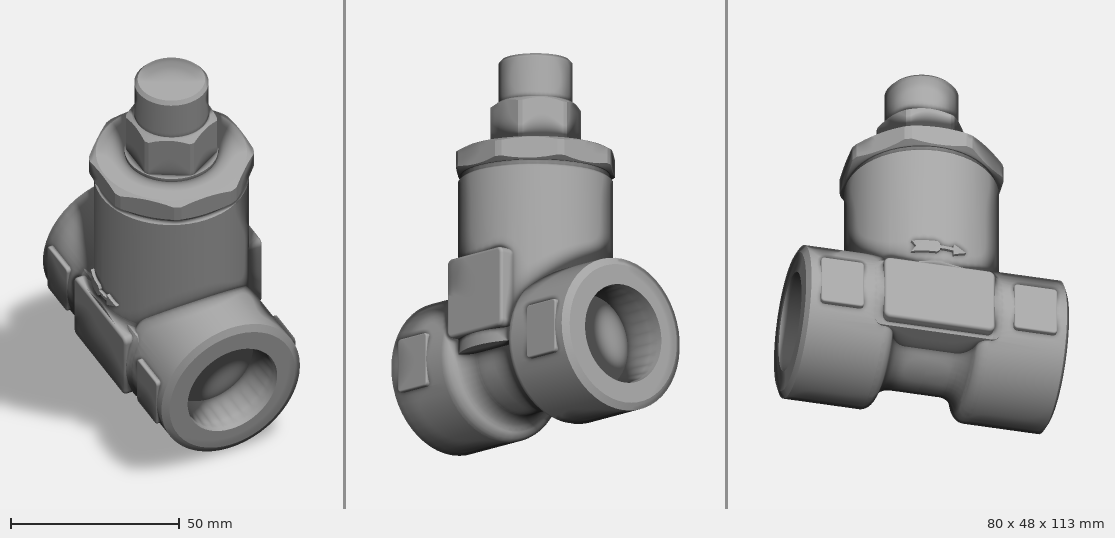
import cadquery as cq
import math

length = 80.0
height = 113.0
depth = 48.0
body_dia = 46.0
body_r = body_dia / 2
pad_face = depth / 2
top_z = height - body_r

hub_inner_x = 16.0
shoulder_length = 8.5
shoulder_drop = 6.8
shoulder_outer_r = 3.5
hub_chamfer_axial = 1.1
hub_chamfer_radial = 2.1
bore_dia = 28.6
bore_mouth_dia = 29.7
bore_depth = 14.7
flat_x = 29.4
flat_width = 13.1
flat_height = 16.0
flat_corner = 1.1
flat_rise = 0.1
flat_edge = 0.5

body_top = 53.7
nut_bottom = 54.9
nut_top = 61.9
collar_top = 63.0
hex_top = 76.7

body_rim_axial = 0.8
body_rim_radial = 0.9
neck_dia = 44.0
nut_corner_dia = 48.9
nut_face_dia = 44.9
nut_chamfer_axial = 1.1
collar_dia = 27.8
hex_flats = 24.1
hex_corner_dia = 27.0
hex_face_dia = 22.7
hex_chamfer_axial = 1.6
stem_dia = 22.0
stem_chamfer_axial = 1.1
stem_chamfer_radial = 1.0

front_pad_width = 33.7
front_pad_height = 21.7
skirt_half_width = 19.2
skirt_height = 23.5
skirt_corner = 2.8
skirt_rise = 0.6
skirt_sag = 0.1
root_fillet = 2.1
root_front_y = -23.2
rear_pad_width = 24.9
rear_pad_bottom = 4.1
rear_pad_top = 28.0
pad_edge = 0.9
pad_corner = 1.9

arrow_z = 17.1
arrow_tail_x = -8.4
arrow_notch_x = -7.0
arrow_block_x = 0.0
arrow_block_corner = 0.8
arrow_head_x = 4.2
arrow_tip_x = 8.2
arrow_half_height = 1.9
arrow_shaft_half = 0.51


def cylinder(diameter, bottom, top):
    return cq.Workplane("XY").workplane(offset=bottom).circle(diameter / 2).extrude(top - bottom)


def polygon_prism(sides, across_flats, bottom, top, start_angle):
    corner_r = across_flats / 2 / math.cos(math.pi / sides)
    angles = [start_angle + 2 * math.pi * i / sides for i in range(sides)]
    corners = [(corner_r * math.cos(a), corner_r * math.sin(a)) for a in angles]
    return cq.Workplane("XY").workplane(offset=bottom).polyline(corners).close().extrude(top - bottom)


def block(x_size, z_size, x_mid, z_mid, y_near, y_far):
    """Box given by its X and Z size and centre, spanning two Y positions."""
    y_size = abs(y_far - y_near)
    return cq.Workplane("XY").box(x_size, y_size, z_size).translate((x_mid, (y_near + y_far) / 2, z_mid))


def make_run():
    """Both hubs, the thinner core between them and the S-shaped shoulders, turned about X."""
    end = length / 2
    face_r = body_r - hub_chamfer_radial
    core_r = body_r - shoulder_drop
    core_x = hub_inner_x - shoulder_length
    sweep = 2 * math.atan2(shoulder_drop, shoulder_length)
    inner_r = shoulder_length / math.sin(sweep) - shoulder_outer_r

    def outer_arc(angle):
        return (
            hub_inner_x - shoulder_outer_r * math.sin(angle),
            body_r - shoulder_outer_r * (1 - math.cos(angle)),
        )

    inner_mid = (
        core_x + inner_r * math.sin(sweep / 2),
        core_r + inner_r * (1 - math.cos(sweep / 2)),
    )
    half = (
        cq.Workplane("XY")
        .moveTo(0, 0)
        .lineTo(end, 0)
        .lineTo(end, face_r)
        .lineTo(end - hub_chamfer_axial, body_r)
        .lineTo(hub_inner_x, body_r)
        .threePointArc(outer_arc(sweep / 2), outer_arc(sweep))
        .threePointArc(inner_mid, (core_x, core_r))
        .lineTo(0, core_r)
        .close()
        .revolve(360, (0, 0, 0), (1, 0, 0))
    )
    return half.union(half.mirror("YZ"))


def make_body():
    """Vertical barrel with a small rim chamfer."""
    return (
        cylinder(body_dia, 0, body_top)
        .faces(">Z").edges().chamfer(body_rim_axial, body_rim_radial)
    )


def turned_blank(corner_dia, bottom, top, face_dia, chamfer_axial, both_ends):
    """Turned disc whose conical ends trim the corners of a nut."""
    radial = (corner_dia - face_dia) / 2
    blank = cylinder(corner_dia, bottom, top).faces(">Z").edges().chamfer(chamfer_axial, radial)
    if both_ends:
        blank = blank.faces("<Z").edges().chamfer(chamfer_axial, radial)
    return blank


def make_top_works():
    """Neck, octagonal cover nut, collar, hexagon and plain stem."""
    neck = cylinder(neck_dia, body_top, nut_bottom)
    nut = polygon_prism(8, body_dia, nut_bottom, nut_top, math.pi / 8).intersect(
        turned_blank(nut_corner_dia, nut_bottom, nut_top, nut_face_dia, nut_chamfer_axial, True)
    )
    collar = cylinder(collar_dia, nut_top, collar_top)
    hexagon = polygon_prism(6, hex_flats, collar_top, hex_top, 0).intersect(
        turned_blank(hex_corner_dia, collar_top, hex_top, hex_face_dia, hex_chamfer_axial, False)
    )
    stem = cylinder(stem_dia, hex_top, top_z)
    stem = stem.faces(">Z").edges().chamfer(stem_chamfer_axial, stem_chamfer_radial)
    return neck.union(nut).union(collar).union(hexagon).union(stem)


def make_front_pad():
    pad = block(front_pad_width, front_pad_height, 0, 0, 0, -pad_face)
    return pad.edges("|Y").fillet(pad_corner).faces("<Y").edges().fillet(pad_edge)


def make_rear_pad():
    pad_height = rear_pad_top - rear_pad_bottom
    pad = block(rear_pad_width, pad_height, 0, (rear_pad_top + rear_pad_bottom) / 2, 0, pad_face)
    return pad.edges("|Y").fillet(pad_corner).faces(">Y").edges().fillet(pad_edge)


def make_skirt():
    """Hollow blend from the sides of the front pad onto the hubs, turned about X."""
    pad_x = front_pad_width / 2
    crest_r = body_r + skirt_rise
    hollow = ((skirt_half_width + pad_x) / 2, body_r + skirt_rise / 2 - skirt_sag)
    half = (
        cq.Workplane("XY")
        .moveTo(0, 0)
        .lineTo(skirt_half_width, 0)
        .lineTo(skirt_half_width, body_r)
        .threePointArc(hollow, (pad_x, crest_r))
        .lineTo(0, crest_r)
        .close()
        .revolve(360, (0, 0, 0), (1, 0, 0))
    )
    limit = block(2 * skirt_half_width, skirt_height, 0, 0, 0, -pad_face)
    limit = limit.edges("|Y").fillet(skirt_corner)
    return half.union(half.mirror("YZ")).intersect(limit)


def make_root_fillet():
    """Concave fillet round the body above the front pad, cut off just behind the pad face."""
    pad_top = front_pad_height / 2
    outer_r = body_r + root_fillet
    top = pad_top + root_fillet
    diagonal = root_fillet * math.sqrt(0.5)
    ring = (
        cq.Workplane("XZ")
        .moveTo(0, 0)
        .lineTo(outer_r, 0)
        .lineTo(outer_r, pad_top)
        .threePointArc((outer_r - diagonal, top - diagonal), (body_r, top))
        .lineTo(0, top)
        .close()
        .revolve(360, (0, 0, 0), (0, 1, 0))
    )
    limit = block(2 * hub_inner_x, 2 * top, 0, 0, 0, root_front_y)
    return ring.intersect(limit)


def make_hub_flats():
    """Four small flats, just proud of the hubs at the front and the rear."""
    face_y = body_r + flat_rise
    flats = cq.Workplane("XY")
    for x_mid in (-flat_x, flat_x):
        plate = block(flat_width, flat_height, x_mid, 0, -face_y, face_y)
        plate = plate.edges("|Y").fillet(flat_corner)
        flats = flats.union(plate.faces("<Y or >Y").edges().fillet(flat_edge))
    return flats


def make_arrow():
    """Flow arrow pointing to +X, raised evenly from the round body."""
    upper = [
        (arrow_tail_x, arrow_half_height),
        (arrow_block_x - arrow_block_corner, arrow_half_height),
        (arrow_block_x, arrow_half_height - arrow_block_corner),
        (arrow_block_x, arrow_shaft_half),
        (arrow_head_x, arrow_shaft_half),
        (arrow_head_x, arrow_half_height),
    ]
    lower = [(x, -z) for x, z in reversed(upper)]
    outline = [(arrow_notch_x, 0)] + upper + [(arrow_tip_x, 0)] + lower
    arrow = cq.Workplane("XZ").polyline(outline).close().extrude(pad_face).translate((0, 0, arrow_z))
    return arrow.intersect(cylinder(2 * pad_face, 0, body_top))


def make_socket():
    """Blind tapered pipe socket in the -X end."""
    return (
        cq.Workplane("YZ")
        .workplane(offset=-length / 2)
        .circle(bore_mouth_dia / 2)
        .workplane(offset=bore_depth)
        .circle(bore_dia / 2)
        .loft()
    )


raised_features = (
    make_rear_pad(),
    make_skirt(),
    make_root_fillet(),
    make_front_pad(),
    make_hub_flats(),
    make_arrow(),
)
socket = make_socket()

result = make_run().union(make_body()).union(make_top_works())
for feature in raised_features:
    result = result.union(feature)
result = result.cut(socket).cut(socket.mirror("YZ"))